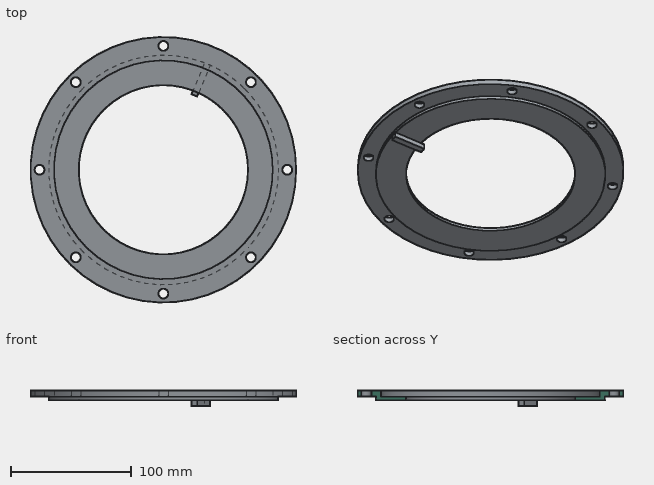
import cadquery as cq

outer_diameter = 220.0
total_height = 13.0

flange_thickness = 5.0
bolt_count = 8
bolt_circle_diameter = 205.0
bolt_hole_diameter = 8.0

step_diameter = 190.0
recess_diameter = 181.0
bore_diameter = 140.0

tab_height = 4.8
tab_width = 5.0
tab_inner_radius = 66.7
tab_outer_radius = step_diameter / 2
tab_angle = 67.5

step_bottom = tab_height
flange_bottom = total_height - flange_thickness
step_thickness = flange_bottom - step_bottom


def ring(outer, inner, bottom, height):
    """Flat ring given by its two diameters."""
    return (
        cq.Workplane("XY", origin=(0, 0, bottom))
        .circle(outer / 2)
        .circle(inner / 2)
        .extrude(height)
    )


def bolt_holes():
    """Cylinders that cut the evenly spaced holes through the flange."""
    return (
        cq.Workplane("XY", origin=(0, 0, flange_bottom))
        .polarArray(bolt_circle_diameter / 2, 0, 360, bolt_count)
        .circle(bolt_hole_diameter / 2)
        .extrude(flange_thickness)
    )


def radial_tab():
    """Rectangular bar along a radius, turned to its angle about Z."""
    tab_length = tab_outer_radius - tab_inner_radius
    tab_centre = (tab_outer_radius + tab_inner_radius) / 2
    return (
        cq.Workplane("XY")
        .center(tab_centre, 0)
        .rect(tab_length, tab_width)
        .extrude(tab_height)
        .rotate((0, 0, 0), (0, 0, 1), tab_angle)
    )


flange = ring(outer_diameter, recess_diameter, flange_bottom, flange_thickness).cut(bolt_holes())
step = ring(step_diameter, bore_diameter, step_bottom, step_thickness)

result = flange.union(step).union(radial_tab())